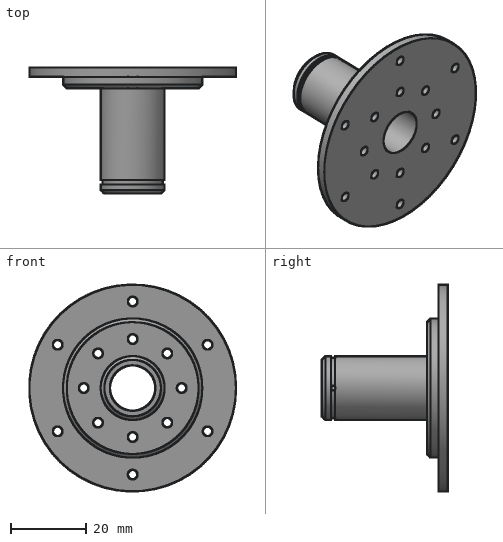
import cadquery as cq

flange_diameter = 55.0
flange_thickness = 2.5
hub_diameter = 37.0
hub_height = 3.1
sleeve_diameter = 17.0
bore_diameter = 12.0
total_length = 33.5
edge_chamfer = 1.0

groove_width = 1.1
groove_depth = 0.45
end_land = 2.5
cross_hole_diameter = 1.1

bolt_hole_diameter = 2.5
outer_circle_diameter = 46.0
outer_hole_count = 6
inner_circle_diameter = 26.0
inner_hole_count = 8
first_hole_angle = 90.0

hub_face = flange_thickness + hub_height
groove_end = total_length - end_land
groove_start = groove_end - groove_width


def cylinder(diameter, start, length):
    """Cylinder on the part axis, starting at a distance from the back face."""
    return cq.Workplane("XZ", origin=(0, -start, 0)).circle(diameter / 2).extrude(length)


def bolt_holes(circle_diameter, count):
    """Evenly spaced cutters through the flange and hub, one of them on +Z."""
    return (
        cq.Workplane("XZ")
        .polarArray(circle_diameter / 2, first_hole_angle, 360, count)
        .circle(bolt_hole_diameter / 2)
        .extrude(hub_face)
    )


flange = cylinder(flange_diameter, 0, flange_thickness)
hub = cylinder(hub_diameter, 0, hub_face).faces("<Y").chamfer(edge_chamfer)
sleeve = cylinder(sleeve_diameter, 0, total_length).faces("<Y").chamfer(edge_chamfer)
body = flange.union(hub).union(sleeve)

body = body.cut(cylinder(bore_diameter, 0, total_length))

groove_floor = cylinder(sleeve_diameter - 2 * groove_depth, groove_start, groove_width)
groove = cylinder(sleeve_diameter, groove_start, groove_width).cut(groove_floor)
body = body.cut(groove)

cross_hole = (
    cq.Workplane("YZ", origin=(0, -(groove_start + groove_end) / 2, 0))
    .circle(cross_hole_diameter / 2)
    .extrude(sleeve_diameter / 2, both=True)
)
body = body.cut(cross_hole)

body = body.cut(bolt_holes(outer_circle_diameter, outer_hole_count))
result = body.cut(bolt_holes(inner_circle_diameter, inner_hole_count))